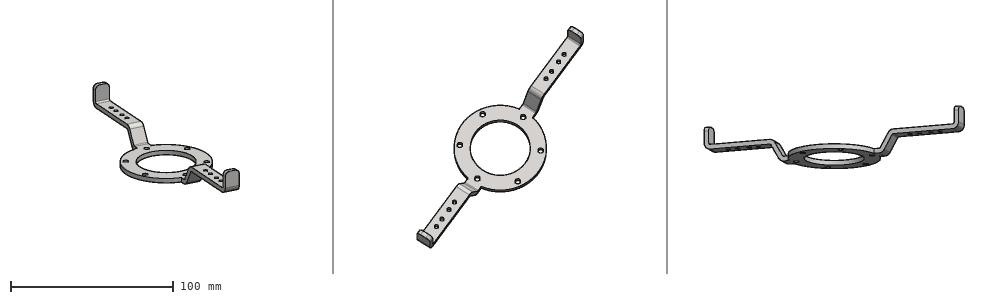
import cadquery as cq
import math

thickness = 3.0
inner_bend_radius = 1.0
bend_radius = inner_bend_radius + thickness / 2

ring_diameter = 57.0
bore_diameter = 37.0
ring_hole_diameter = 3.4
ring_hole_circle_diameter = 50.0
ring_hole_count = 6

span = 168.1
height = 26.0
arm_width = 10.0
arm_rise = 11.5
slope_angle = 60.0
slope_start_x = 31.5
tip_corner_radius = 3.0
arm_hole_diameter = 2.5
arm_hole_positions = (50.1, 56.2, 63.9, 70.0)


def make_ring():
    return (
        cq.Workplane("XY")
        .circle(ring_diameter / 2)
        .circle(bore_diameter / 2)
        .extrude(thickness)
    )


def make_arm():
    """Arm on the +X side: a rectangle swept along the middle of the sheet."""
    slope = math.radians(slope_angle)
    root_x = (ring_diameter + bore_diameter) / 4
    low_z = thickness / 2
    high_z = low_z + arm_rise
    tip_x = span / 2 - thickness / 2

    bend_run = bend_radius * math.sin(slope)
    bend_rise = bend_radius * (1 - math.cos(slope))
    straight_rise = arm_rise - 2 * bend_rise
    straight_run = straight_rise / math.tan(slope)

    lower_bend_end = (slope_start_x + bend_run, low_z + bend_rise)
    upper_bend_start = (lower_bend_end[0] + straight_run, high_z - bend_rise)
    upper_bend_end = (upper_bend_start[0] + bend_run, high_z)

    path = (
        cq.Workplane("XZ")
        .moveTo(root_x, low_z)
        .lineTo(slope_start_x, low_z)
        .tangentArcPoint(lower_bend_end, relative=False)
        .lineTo(*upper_bend_start)
        .tangentArcPoint(upper_bend_end, relative=False)
        .lineTo(tip_x - bend_radius, high_z)
        .tangentArcPoint((tip_x, high_z + bend_radius), relative=False)
        .lineTo(tip_x, height)
    )
    arm = (
        cq.Workplane("YZ", origin=(root_x, 0, low_z))
        .rect(arm_width, thickness)
        .sweep(path)
    )
    arm = arm.faces(">Z").edges("|X").fillet(tip_corner_radius)

    holes = (
        cq.Workplane("XY")
        .pushPoints([(x, 0) for x in arm_hole_positions])
        .circle(arm_hole_diameter / 2)
        .extrude(height)
    )
    return arm.cut(holes)


def make_ring_holes():
    return (
        cq.Workplane("XY")
        .polarArray(ring_hole_circle_diameter / 2, 0, 360, ring_hole_count)
        .circle(ring_hole_diameter / 2)
        .extrude(thickness)
    )


arm = make_arm()
result = make_ring().union(arm).union(arm.mirror("YZ")).cut(make_ring_holes())